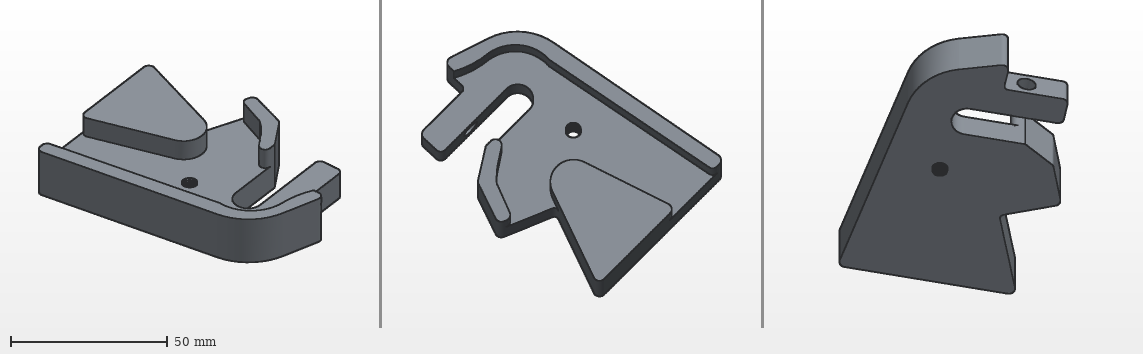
import cadquery as cq
import math


def point_on_line(start, end, x):
    """Point at the given X on the line through two points."""
    slope = (end[1] - start[1]) / (end[0] - start[0])
    return (x, start[1] + slope * (x - start[0]))


BODY_HEIGHT = 17.5
FLOOR_HEIGHT = 10.0

CORNER_RADIUS = 2.0
RELIEF_RADIUS = 1.5
BEND_RADIUS = 20.0
WEDGE_TIP_RADIUS = 7.5

WEDGE_TOP = (0, 58.25)
WEDGE_BOTTOM = (0, 22.2)
WEDGE_APEX = (52.6, 37.65)

RAIL_START = (0, -0.3)
RAIL_BEND = (78.7, 11.3)
RAIL_END = (87.7, 38.6)
FINGER_TOP = 59.8
FINGER_RIGHT = 77.8
FINGER_ROOT = (FINGER_RIGHT, RAIL_END[1])
FINGER_TIP_RIGHT = (FINGER_RIGHT, FINGER_TOP)
HOOK_KNEE = (51.7, 60.0)
HOOK_CORNER = (37.3, 65.5)
NECK = point_on_line(WEDGE_TOP, WEDGE_APEX, 29.3)

SLOT_WIDTH = 10.0
SLOT_RIGHT = 68.2
SLOT_LEFT = SLOT_RIGHT - SLOT_WIDTH
SLOT_BOTTOM = 24.5
FINGER_TIP_LEFT = (SLOT_RIGHT, FINGER_TOP)
HOOK_END = (SLOT_LEFT, 49.55)

HOOK_INNER_START = point_on_line(NECK, HOOK_CORNER, 35.4)
HOOK_BEND_START = (46.8, 56.2)
HOOK_BEND_MIDDLE = (48.95, 54.2)
HOOK_BEND_END = (50.8, 51.8)
HOOK_INNER_END = (SLOT_LEFT, 40.3)

RAIL_INNER_START = (0, 4.8)
RAIL_BEND_START = (63.5, 14.6)
RAIL_BEND_MIDDLE = (73.8, 17.65)
RAIL_BEND_END = (79.0, 26.5)
RAIL_REVERSE_MIDDLE = (80.25, 32.6)
RAIL_INNER_END = (82.85, RAIL_END[1])

THREAD_CENTER = (43.2, 24.6)
THREAD_MINOR_RADIUS = 2.48
THREAD_MAJOR_RADIUS = 2.95
THREAD_PITCH = 1.0
THREAD_CREST = 0.3

CROSS_HOLE_DIAMETER = 6.0
CROSS_HOLE_Y = 46.1
CROSS_HOLE_Z = FLOOR_HEIGHT / 2


def prism(points, height):
    """Extrude a closed polygon upward from the base plane."""
    return cq.Workplane("XY").polyline(points).close().extrude(height)


def round_corners(solid, corners, radius):
    """Fillet the vertical edges standing at the given XY corners."""
    for x, y in corners:
        nearest = cq.selectors.NearestToPointSelector((x, y, BODY_HEIGHT / 2))
        solid = solid.edges("|Z").edges(nearest).fillet(radius)
    return solid


def make_outline():
    """Full-height block with the outer contour of the part, slot included."""
    block = prism(
        [RAIL_START, RAIL_BEND, RAIL_END, FINGER_ROOT, FINGER_TIP_RIGHT, FINGER_TIP_LEFT,
         HOOK_END, HOOK_KNEE, HOOK_CORNER, NECK, WEDGE_TOP],
        BODY_HEIGHT,
    )
    slot_radius = SLOT_WIDTH / 2
    slot = (
        cq.Workplane("XY")
        .moveTo(SLOT_LEFT, FINGER_TOP)
        .lineTo(SLOT_LEFT, SLOT_BOTTOM + slot_radius)
        .threePointArc((SLOT_LEFT + slot_radius, SLOT_BOTTOM), (SLOT_RIGHT, SLOT_BOTTOM + slot_radius))
        .lineTo(SLOT_RIGHT, FINGER_TOP)
        .close()
        .extrude(BODY_HEIGHT)
    )
    block = block.cut(slot)
    block = round_corners(block, [RAIL_BEND], BEND_RADIUS)
    block = round_corners(block, [FINGER_ROOT, NECK], RELIEF_RADIUS)
    convex_corners = [RAIL_START, RAIL_END, FINGER_TIP_RIGHT, FINGER_TIP_LEFT,
                      HOOK_KNEE, HOOK_CORNER, WEDGE_TOP]
    return round_corners(block, convex_corners, CORNER_RADIUS)


def make_wedge():
    """Triangular block with a large rounded tip."""
    wedge = prism([WEDGE_BOTTOM, WEDGE_APEX, WEDGE_TOP], BODY_HEIGHT)
    wedge = round_corners(wedge, [WEDGE_APEX], WEDGE_TIP_RADIUS)
    return round_corners(wedge, [WEDGE_BOTTOM, WEDGE_TOP], CORNER_RADIUS)


def make_hook(outline):
    """Bent wall along the top edge, ending at the slot."""
    hook = (
        cq.Workplane("XY")
        .moveTo(*HOOK_INNER_START)
        .lineTo(*HOOK_BEND_START)
        .threePointArc(HOOK_BEND_MIDDLE, HOOK_BEND_END)
        .lineTo(*HOOK_INNER_END)
        .lineTo(*HOOK_END)
        .lineTo(*HOOK_KNEE)
        .lineTo(*HOOK_CORNER)
        .close()
        .extrude(BODY_HEIGHT)
    )
    hook = round_corners(hook, [HOOK_INNER_START, HOOK_INNER_END], CORNER_RADIUS)
    return hook.intersect(outline)


def make_rail(outline):
    """Curved wall along the lower and right edges."""
    rail = (
        cq.Workplane("XY")
        .moveTo(*RAIL_START)
        .lineTo(*RAIL_INNER_START)
        .lineTo(*RAIL_BEND_START)
        .threePointArc(RAIL_BEND_MIDDLE, RAIL_BEND_END)
        .threePointArc(RAIL_REVERSE_MIDDLE, RAIL_INNER_END)
        .lineTo(*RAIL_END)
        .lineTo(*RAIL_BEND)
        .close()
        .extrude(BODY_HEIGHT)
    )
    rail = round_corners(rail, [RAIL_INNER_START], CORNER_RADIUS)
    return rail.intersect(outline)


def make_threaded_hole():
    """Through bore with ring grooves standing in for the thread."""
    profile = [(0, 0), (THREAD_MINOR_RADIUS, 0)]
    groove_width = THREAD_PITCH - THREAD_CREST
    for turn in range(math.floor(FLOOR_HEIGHT / THREAD_PITCH)):
        groove_start = turn * THREAD_PITCH + THREAD_CREST / 2
        profile += [
            (THREAD_MINOR_RADIUS, groove_start),
            (THREAD_MAJOR_RADIUS, groove_start + groove_width / 2),
            (THREAD_MINOR_RADIUS, groove_start + groove_width),
        ]
    profile += [(THREAD_MINOR_RADIUS, FLOOR_HEIGHT), (0, FLOOR_HEIGHT)]
    bore = cq.Workplane("XZ").polyline(profile).close().revolve(360, (0, 0, 0), (0, 1, 0))
    return bore.translate((*THREAD_CENTER, 0))


def make_cross_hole():
    """Round hole along X through the finger."""
    return (
        cq.Workplane("YZ", origin=(SLOT_RIGHT, 0, 0))
        .center(CROSS_HOLE_Y, CROSS_HOLE_Z)
        .circle(CROSS_HOLE_DIAMETER / 2)
        .extrude(FINGER_RIGHT - SLOT_RIGHT)
    )


outline = make_outline()
floor_plane = cq.Workplane("XY", origin=(0, 0, FLOOR_HEIGHT))
floor = outline.copyWorkplane(floor_plane).split(keepBottom=True)
result = floor.union(make_wedge()).union(make_hook(outline)).union(make_rail(outline))
result = result.cut(make_threaded_hole()).cut(make_cross_hole())